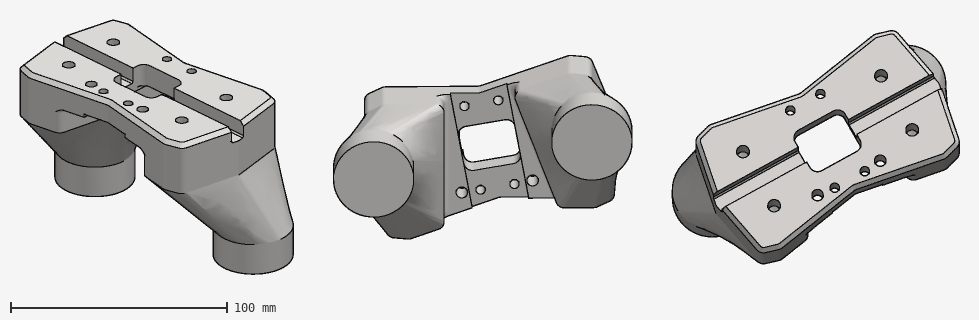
import cadquery as cq
import math

total_height = 78.8
foot_height = 15.8
leg_height = 52.5
arch_height = 65.8
relief_height = 67.5
top_chamfer = 2.1

waist_y = 26.1
shoulder_x = 43.7
shoulder_y = 33.7
corner_x = 53.1
corner_y = 31.0
apex_x = 59.1
edge_radius = 4.0

inner_front_x = 26.8
inner_rear_x = 16.0
arch_fillet = 2.7
arch_reach_x = 83.8
arch_reach_y = 69.8
arch_clearance = 0.4

overall_width = 139.7
foot_diameter = 37.2
foot_x = (overall_width - foot_diameter) / 2
foot_y = 17.5

slot_width = 8.0
slot_depth = 8.0
slot_chamfer = 0.8
window_x = 26.5
window_y = 22.0
window_radius = 4.0

blind_x = 36.6
blind_y = 14.7
blind_diameter = 5.9
blind_depth = 14.0
drill_point_angle = 118.0
screw_x = 8.0
screw_y = 21.0
screw_diameter = 4.3
peg_x = 16.6
peg_y = -20.1
peg_diameter = 5.3


def waist_line_y(x):
    """Half depth of the block on the straight line from the waist through a shoulder."""
    return waist_y + (shoulder_y - waist_y) * x / shoulder_x


def make_block():
    """Waisted block with rounded upright edges and a chamfered top rim."""
    front = [
        (-apex_x, 0),
        (-corner_x, -corner_y),
        (-shoulder_x, -shoulder_y),
        (0, -waist_y),
        (shoulder_x, -shoulder_y),
        (corner_x, -corner_y),
        (apex_x, 0),
    ]
    rear = [(x, -y) for x, y in reversed(front[1:-1])]
    block = (
        cq.Workplane("XY")
        .workplane(offset=leg_height)
        .polyline(front + rear).close()
        .extrude(total_height - leg_height)
    )
    block = block.edges("|Z").fillet(edge_radius)
    return block.faces(">Z").edges().chamfer(top_chamfer)


def make_arch():
    """Space between the legs, with a shallow relief along the middle of its ceiling.

    Outside the block it spreads sideways just clear of the front and rear faces,
    so that its rounded edges also round the inner corners of the legs.
    """
    front_y = waist_line_y(inner_front_x)
    rear_y = waist_line_y(inner_rear_x)
    spread_y = waist_line_y(arch_reach_x) + arch_clearance
    left = [
        (-arch_reach_x, arch_reach_y),
        (-arch_reach_x, spread_y),
        (-inner_rear_x, rear_y),
        (-inner_front_x, -front_y),
        (-arch_reach_x, -spread_y),
        (-arch_reach_x, -arch_reach_y),
    ]
    right = [(-x, y) for x, y in reversed(left)]
    arch = cq.Workplane("XY").polyline(left + right).close().extrude(arch_height)
    leg_corners = cq.selectors.BoxSelector(
        (-shoulder_x, -shoulder_y, 0), (shoulder_x, shoulder_y, arch_height)
    )
    arch = arch.edges("|Z").edges(leg_corners).fillet(edge_radius)
    arch = arch.faces(">Z").edges().fillet(arch_fillet)
    relief = cq.Workplane("XY").rect(window_x, 2 * arch_reach_y).extrude(relief_height)
    return arch.union(relief)


def make_left_leg(block):
    """Round foot with a ruled blend up to the left underside of the block."""
    foot = (
        cq.Workplane("XY")
        .center(-foot_x, foot_y)
        .circle(foot_diameter / 2)
        .extrude(foot_height)
    )
    foot_rim = foot.faces(">Z").wires().val()
    underside = block.faces("<Z").faces("<X").wires().val()
    blend = cq.Solid.makeLoft([foot_rim, underside], True)
    return foot.union(cq.Workplane(blend))


def make_slot():
    """Lengthwise slot in the top with chamfered bottom corners."""
    slot = cq.Workplane("XY").box(2 * apex_x, slot_width, slot_depth, centered=(True, True, False))
    slot = slot.faces("<Z").edges("|X").chamfer(slot_chamfer)
    return slot.translate((0, 0, total_height - slot_depth))


def make_window():
    window = cq.Workplane("XY").rect(window_x, window_y).extrude(total_height)
    return window.edges("|Z").fillet(window_radius)


def make_blind_holes():
    """Four holes with drill-point bottoms."""
    radius = blind_diameter / 2
    point_depth = radius / math.tan(math.radians(drill_point_angle / 2))
    profile = [(0, 0), (radius, 0), (radius, -blind_depth), (0, -blind_depth - point_depth)]
    hole = cq.Workplane("XZ").polyline(profile).close().revolve(360, (0, 0, 0), (0, 1, 0)).val()
    return (
        cq.Workplane("XY")
        .workplane(offset=total_height)
        .rect(2 * blind_x, 2 * blind_y, forConstruction=True)
        .vertices()
        .eachpoint(lambda place: hole.moved(place))
    )


def make_through_holes():
    """Four screw holes around the window and two wider peg holes at the front."""
    screws = (
        cq.Workplane("XY")
        .rect(2 * screw_x, 2 * screw_y, forConstruction=True)
        .vertices()
        .circle(screw_diameter / 2)
        .extrude(total_height)
    )
    pegs = (
        cq.Workplane("XY")
        .pushPoints([(-peg_x, peg_y), (peg_x, peg_y)])
        .circle(peg_diameter / 2)
        .extrude(total_height)
    )
    return screws.union(pegs)


block = make_block().cut(make_arch())
left_leg = make_left_leg(block)
body = block.union(left_leg).union(left_leg.mirror("YZ"))
body = body.cut(make_window()).cut(make_slot())
result = body.cut(make_blind_holes()).cut(make_through_holes())